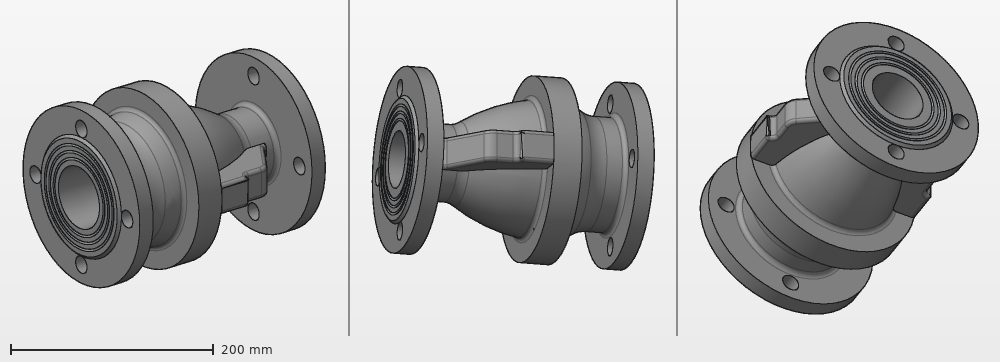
import cadquery as cq
import math

LENGTH = 240.0
FLANGE_RADIUS = 185.0 / 2

FLANGE_BACK = 20.0
FACE_HEIGHT = 3.0
FACE_RADIUS = 60.5
FACE_BASE_RADIUS = FACE_RADIUS + FACE_HEIGHT
ROOT_FILLET = 5.0
BOLT_COUNT = 4
BOLT_DIAMETER = 18.0
BOLT_CIRCLE_RADIUS = 145.0 / 2

GROOVE_COUNT = 3
GROOVE_PITCH = 7.1
GROOVE_OUTER_RADIUS = 53.8
GROOVE_SECTION_RADIUS = 1.2

BODY_FLANGE_START = 77.5
BODY_FLANGE_END = 106.5

INLET_NECK_RADIUS = 114.0 / 2
INLET_NECK_END = 41.0
INLET_INFLECTION = (62.6, 59.0)
INLET_BELL_END = (68.7, 74.3)
OUTLET_NECK_RADIUS = 77.0 / 2
OUTLET_NECK_END = 51.5
OUTLET_INFLECTION = (41.7, 62.4)
OUTLET_BELL_END = (68.0, 129.5)

BORE_INLET_RADIUS = 65.0 / 2
BORE_OUTLET_RADIUS = 57.0 / 2

LUG_HEIGHT = 32.0
LUG_OUTER_X = FLANGE_RADIUS - 0.1
LUG_STEP_Y = 140.7
LUG_STEP_X = 84.6
LUG_SHOULDER_Y = 170.2
LUG_SLOPE = math.radians(35)
LUG_HEEL_X = OUTLET_NECK_RADIUS - 0.1
LUG_END_Y = 205.5
LUG_INNER_X = 30.0
LUG_EDGE_FILLET = 4.0
LUG_SHOULDER_FILLET = 14.5
LUG_STEP_FILLET = 5.5
LUG_HEEL_FILLET = 5.0
LUG_CORNER_RADIUS = 2.0
CUT_MARGIN = 1.0


def casing_half(neck_radius, neck_end, inflection, bell_end, body_face):
    """Solid of revolution from an end face to the body flange.

    The neck flares through a concave arc up to `inflection`, a convex arc up to
    `bell_end` and a small concave root that ends square on the body flange at
    distance `body_face`.
    """
    bell_radius, bell_distance = bell_end
    root_depth = body_face - bell_distance
    root_width = math.sqrt(ROOT_FILLET**2 - (ROOT_FILLET - root_depth) ** 2)
    return (
        cq.Workplane("XY")
        .lineTo(FACE_RADIUS, 0)
        .lineTo(FACE_BASE_RADIUS, FACE_HEIGHT)
        .lineTo(FLANGE_RADIUS, FACE_HEIGHT)
        .lineTo(FLANGE_RADIUS, FLANGE_BACK)
        .lineTo(neck_radius + ROOT_FILLET, FLANGE_BACK)
        .radiusArc((neck_radius, FLANGE_BACK + ROOT_FILLET), ROOT_FILLET)
        .lineTo(neck_radius, neck_end)
        .tangentArcPoint(inflection, relative=False)
        .tangentArcPoint(bell_end, relative=False)
        .radiusArc((bell_radius + root_width, body_face), ROOT_FILLET)
        .lineTo(0, body_face)
        .close()
        .revolve(360, (0, 0, 0), (0, 1, 0))
    )


def at_outlet(shape):
    """Mirror an inlet-end shape onto the outlet end."""
    return shape.mirror("XZ").translate((0, LENGTH, 0))


def body_flange():
    return (
        cq.Workplane("XZ", origin=(0, BODY_FLANGE_START, 0))
        .circle(FLANGE_RADIUS)
        .extrude(BODY_FLANGE_START - BODY_FLANGE_END)
    )


def tapered_bore():
    return (
        cq.Workplane("XY")
        .lineTo(BORE_INLET_RADIUS, 0)
        .lineTo(BORE_OUTLET_RADIUS, LENGTH)
        .lineTo(0, LENGTH)
        .close()
        .revolve(360, (0, 0, 0), (0, 1, 0))
    )


def bolt_holes():
    return (
        cq.Workplane("XZ")
        .polarArray(BOLT_CIRCLE_RADIUS, 0, 360, BOLT_COUNT)
        .circle(BOLT_DIAMETER / 2)
        .extrude(-FLANGE_BACK)
    )


def sealing_grooves():
    """Half-round rings sunk into the raised face."""
    centres = [(GROOVE_OUTER_RADIUS - i * GROOVE_PITCH, 0) for i in range(GROOVE_COUNT)]
    return (
        cq.Workplane("XY")
        .pushPoints(centres)
        .circle(GROOVE_SECTION_RADIUS)
        .revolve(360, (0, 0, 0), (0, 1, 0), combine=False)
    )


def round_corner(lug, x, y, radius):
    """Fillet the lug's upright edge at (x, y)."""
    corner = cq.selectors.NearestToPointSelector((x, y, 0))
    return lug.edges("|Z").edges(corner).fillet(radius)


def corner_cutter():
    """Waste outside the small radius on the lug's wide-part corner."""
    arc_start_x = LUG_OUTER_X - LUG_CORNER_RADIUS
    arc_end_y = LUG_STEP_Y - LUG_CORNER_RADIUS
    return (
        cq.Workplane("XY")
        .moveTo(arc_start_x, LUG_STEP_Y)
        .radiusArc((LUG_OUTER_X, arc_end_y), LUG_CORNER_RADIUS)
        .lineTo(LUG_OUTER_X + CUT_MARGIN, arc_end_y)
        .lineTo(LUG_OUTER_X + CUT_MARGIN, LUG_STEP_Y + CUT_MARGIN)
        .lineTo(arc_start_x, LUG_STEP_Y + CUT_MARGIN)
        .close()
        .extrude(LUG_HEIGHT, both=True)
    )


def side_lug():
    """Stepped and sloped lug on the +X side, rounded along its outer edges."""
    heel_y = LUG_SHOULDER_Y + (LUG_STEP_X - LUG_HEEL_X) * math.tan(LUG_SLOPE)
    lug = (
        cq.Workplane("XY")
        .moveTo(LUG_INNER_X, BODY_FLANGE_END)
        .lineTo(LUG_OUTER_X, BODY_FLANGE_END)
        .lineTo(LUG_OUTER_X, LUG_STEP_Y)
        .lineTo(LUG_STEP_X, LUG_STEP_Y)
        .lineTo(LUG_STEP_X, LUG_SHOULDER_Y)
        .lineTo(LUG_HEEL_X, heel_y)
        .lineTo(LUG_HEEL_X, LUG_END_Y)
        .lineTo(LUG_INNER_X, LUG_END_Y)
        .close()
        .extrude(LUG_HEIGHT / 2, both=True)
    )
    lug = round_corner(lug, LUG_STEP_X, LUG_SHOULDER_Y, LUG_SHOULDER_FILLET)
    lug = round_corner(lug, LUG_STEP_X, LUG_STEP_Y, LUG_STEP_FILLET)
    lug = round_corner(lug, LUG_HEEL_X, heel_y, LUG_HEEL_FILLET)
    outer_edges = lug.faces("<Z or >Z").edges("not(<X or <Y or >Y)")
    lug = outer_edges.fillet(LUG_EDGE_FILLET)
    return lug.cut(corner_cutter())


inlet_half = casing_half(
    INLET_NECK_RADIUS, INLET_NECK_END, INLET_INFLECTION, INLET_BELL_END, BODY_FLANGE_START
)
outlet_half = casing_half(
    OUTLET_NECK_RADIUS, OUTLET_NECK_END, OUTLET_INFLECTION, OUTLET_BELL_END, LENGTH - BODY_FLANGE_END
)
lug = side_lug()

result = inlet_half.union(body_flange()).union(at_outlet(outlet_half))
result = result.union(lug).union(lug.mirror("YZ"))
result = result.cut(tapered_bore())
for cutter in (bolt_holes(), sealing_grooves()):
    result = result.cut(cutter).cut(at_outlet(cutter))